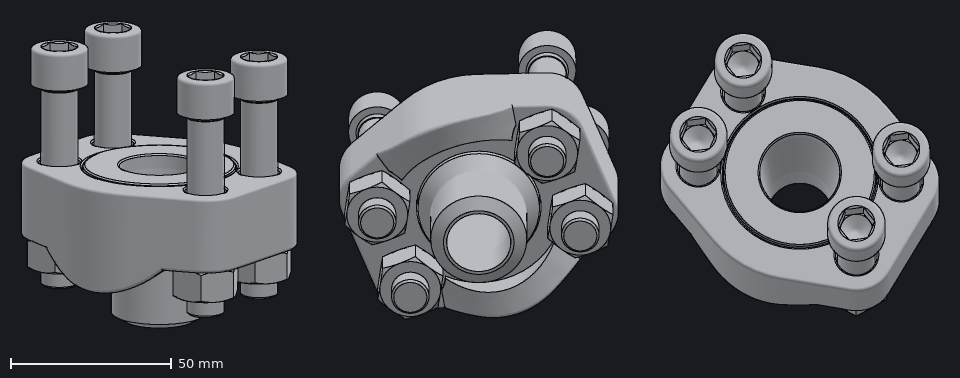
import cadquery as cq
import math


FLANGE_LENGTH = 81.0
FLANGE_WIDTH = 69.93
SIDE_RADIUS = FLANGE_WIDTH / 2
INSERT_STANDOUT = 0.5
FLANGE_THICKNESS = 24.0
FLANGE_TOP = -INSERT_STANDOUT
FLANGE_BOTTOM = FLANGE_TOP - FLANGE_THICKNESS
FLANGE_EDGE_RADIUS = 1.0
SCREW_SPACING_X = 57.15
SCREW_SPACING_Y = 27.76
CORNER_RADIUS = (FLANGE_LENGTH - SCREW_SPACING_X) / 2
SCREW_HOLE_DIAMETER = 13.0
SCREW_HOLE_CHAMFER = 0.5

LOBE_DROP = 9.6
LOBE_RADIUS = 35.0
LOBE_TAPER = 8.0
LOBE_OVERRUN = 2.0
LOBE_CLEARANCE_DIAMETER = 52.0

INSERT_HEIGHT = 50.0
HEAD_DIAMETER = 47.6
HEAD_HEIGHT = 10.0
HEAD_EDGE = 0.5
NECK_DIAMETER = 37.9
NECK_LENGTH = 25.3
PIPE_DIAMETER = 30.0
PIPE_START = 30.0
PIPE_FILLET = 1.0
BORE_DIAMETER = 20.0
MOUTH_DIAMETER = 25.0
MOUTH_DEPTH = 4.7
MOUTH_TAPER_END = 36.0
MOUTH_EDGE = 0.5
WELD_LIP = 1.0
WELD_BEVEL_ANGLE = 30.0

RECESS_DIAMETER = 48.4
RECESS_EDGE = 0.5
NECK_BORE_DIAMETER = 38.85

SCREW_LENGTH = 65.0
SCREW_HEAD_BOTTOM = 24.5
SCREW_HEAD_HEIGHT = 12.0
SCREW_HEAD_DIAMETER = 18.0
SCREW_HEAD_FILLET = 1.2
SHANK_DIAMETER = 12.0
NECK_FILLET_DIAMETER = 13.2
NECK_FILLET_HEIGHT = 1.2
THREAD_DIAMETER = 11.7
THREAD_TIP_DIAMETER = 10.34
SHANK_END_HEIGHT = 0.3
SOCKET_WIDTH = 10.0
SOCKET_DEPTH = 7.5
SOCKET_ANGLE = 38.0
SOCKET_MOUTH_ANGLE = 30.0
SOCKET_TIP_ANGLE = 118.0

NUT_WIDTH = 19.0
NUT_HEIGHT = 10.0
NUT_CHAMFER_ANGLE = 30.0

HEXAGON_SIDES = 6

SCREW_POINTS = [
    (x * SCREW_SPACING_X / 2, y * SCREW_SPACING_Y / 2) for x in (-1, 1) for y in (-1, 1)
]


def tan_deg(angle):
    """Tangent of an angle in degrees."""
    return math.tan(math.radians(angle))


def hexagon_corners(width):
    """Distance across the corners of a hexagon with the given distance across the flats."""
    return width / math.cos(math.pi / HEXAGON_SIDES)


def disc(diameter, z_start, z_end):
    """Cylinder about the Z axis between two heights."""
    return cq.Workplane("XY").workplane(offset=z_start).circle(diameter / 2).extrude(z_end - z_start)


def turned(profile):
    """Solid of revolution about Z of a closed profile drawn in the XZ plane."""
    return profile.close().revolve(axisStart=(0, 0, 0), axisEnd=(0, 1, 0))


def outline_points():
    """Tangent points of the straight flank with the corner arc and with the side arc."""
    corner_x, corner_y = SCREW_SPACING_X / 2, SCREW_SPACING_Y / 2
    reach = math.hypot(corner_x, corner_y)
    normal = math.atan2(corner_y, corner_x) + math.acos((SIDE_RADIUS - CORNER_RADIUS) / reach)
    direction = (math.cos(normal), math.sin(normal))
    corner_end = (corner_x + CORNER_RADIUS * direction[0], corner_y + CORNER_RADIUS * direction[1])
    side_end = (SIDE_RADIUS * direction[0], SIDE_RADIUS * direction[1])
    half_normal = normal / 2
    corner_middle = (
        corner_x + CORNER_RADIUS * math.cos(half_normal),
        corner_y + CORNER_RADIUS * math.sin(half_normal),
    )
    return corner_middle, corner_end, side_end


def flange_prism(z_start, z_end):
    """Flange outline extruded between two heights."""
    (mid_x, mid_y), (corner_x, corner_y), (side_x, side_y) = outline_points()
    half_length = FLANGE_LENGTH / 2
    flat_end = SCREW_SPACING_Y / 2
    outline = (
        cq.Workplane("XY")
        .workplane(offset=z_start)
        .moveTo(half_length, -flat_end)
        .lineTo(half_length, flat_end)
        .threePointArc((mid_x, mid_y), (corner_x, corner_y))
        .lineTo(side_x, side_y)
        .threePointArc((0, SIDE_RADIUS), (-side_x, side_y))
        .lineTo(-corner_x, corner_y)
        .threePointArc((-mid_x, mid_y), (-half_length, flat_end))
        .lineTo(-half_length, -flat_end)
        .threePointArc((-mid_x, -mid_y), (-corner_x, -corner_y))
        .lineTo(-side_x, -side_y)
        .threePointArc((0, -SIDE_RADIUS), (side_x, -side_y))
        .lineTo(corner_x, -corner_y)
        .threePointArc((mid_x, -mid_y), (half_length, -flat_end))
        .close()
    )
    return outline.extrude(z_end - z_start)


def lobe_cones():
    """Two cones along Y that narrow toward the insert axis."""
    axis_z = FLANGE_BOTTOM - LOBE_DROP + LOBE_RADIUS
    inner_radius = LOBE_RADIUS - SIDE_RADIUS * tan_deg(LOBE_TAPER)
    outer_radius = LOBE_RADIUS + LOBE_OVERRUN * tan_deg(LOBE_TAPER)
    length = SIDE_RADIUS + LOBE_OVERRUN
    cones = [
        cq.Solid.makeCone(
            inner_radius, outer_radius, length, cq.Vector(0, 0, axis_z), cq.Vector(0, side, 0)
        )
        for side in (-1, 1)
    ]
    return cq.Workplane(cones[0]).union(cq.Workplane(cones[1]))


def make_lobes():
    """Lobes with rounded outer rims, cleared around the insert and the nuts."""
    lobe_top = FLANGE_BOTTOM + FLANGE_EDGE_RADIUS
    lobe_bottom = FLANGE_BOTTOM - LOBE_DROP
    lobes = flange_prism(lobe_bottom, lobe_top).intersect(lobe_cones())
    for side in (-1, 1):
        rim_zone = cq.selectors.BoxSelector(
            (-FLANGE_LENGTH / 2, side * SIDE_RADIUS / 2, lobe_bottom - FLANGE_EDGE_RADIUS),
            (FLANGE_LENGTH / 2, side * SIDE_RADIUS * 2, lobe_top - FLANGE_EDGE_RADIUS / 2),
        )
        lobes = lobes.edges(rim_zone).edges("not |Z").fillet(FLANGE_EDGE_RADIUS)
    clearance = disc(LOBE_CLEARANCE_DIAMETER, lobe_bottom, FLANGE_BOTTOM)
    lobes = lobes.cut(clearance)
    nut_clearance = disc(hexagon_corners(NUT_WIDTH), lobe_bottom, FLANGE_BOTTOM)
    for x, y in SCREW_POINTS:
        lobes = lobes.cut(nut_clearance.translate((x, y, 0)))
    return lobes


def make_flange():
    """Plate and lobes as one body, with the insert seat and the screw holes."""
    plate = flange_prism(FLANGE_BOTTOM, FLANGE_TOP)
    plate = plate.faces("<Z or >Z").edges().fillet(FLANGE_EDGE_RADIUS)
    body = plate.union(make_lobes())

    bore_half = NECK_BORE_DIAMETER / 2
    recess_half = RECESS_DIAMETER / 2
    seat = turned(
        cq.Workplane("XZ")
        .moveTo(0, FLANGE_BOTTOM)
        .lineTo(bore_half, FLANGE_BOTTOM)
        .lineTo(bore_half, -HEAD_HEIGHT)
        .lineTo(recess_half, -HEAD_HEIGHT)
        .lineTo(recess_half, FLANGE_TOP - RECESS_EDGE)
        .lineTo(recess_half + RECESS_EDGE, FLANGE_TOP)
        .lineTo(0, FLANGE_TOP)
    )
    body = body.cut(seat)

    hole_half = SCREW_HOLE_DIAMETER / 2
    screw_hole = turned(
        cq.Workplane("XZ")
        .moveTo(0, FLANGE_BOTTOM)
        .lineTo(hole_half, FLANGE_BOTTOM)
        .lineTo(hole_half, FLANGE_TOP - SCREW_HOLE_CHAMFER)
        .lineTo(hole_half + SCREW_HOLE_CHAMFER, FLANGE_TOP)
        .lineTo(0, FLANGE_TOP)
    )
    for x, y in SCREW_POINTS:
        body = body.cut(screw_hole.translate((x, y, 0)))
    return body


def make_insert():
    """Insert with a head, a conical neck and a pipe stub bevelled for welding."""
    head_half = HEAD_DIAMETER / 2
    neck_half = NECK_DIAMETER / 2
    pipe_half = PIPE_DIAMETER / 2
    bore_half = BORE_DIAMETER / 2
    mouth_half = MOUTH_DIAMETER / 2
    end_half = bore_half + WELD_LIP
    bevel_height = (pipe_half - end_half) * tan_deg(WELD_BEVEL_ANGLE)

    insert = turned(
        cq.Workplane("XZ")
        .moveTo(mouth_half + MOUTH_EDGE, 0)
        .lineTo(head_half - HEAD_EDGE, 0)
        .lineTo(head_half, -HEAD_EDGE)
        .lineTo(head_half, -HEAD_HEIGHT)
        .lineTo(neck_half, -HEAD_HEIGHT)
        .lineTo(neck_half, -NECK_LENGTH)
        .lineTo(pipe_half, -PIPE_START)
        .lineTo(pipe_half, bevel_height - INSERT_HEIGHT)
        .lineTo(end_half, -INSERT_HEIGHT)
        .lineTo(bore_half, -INSERT_HEIGHT)
        .lineTo(bore_half, -MOUTH_TAPER_END)
        .lineTo(mouth_half, -MOUTH_DEPTH)
        .lineTo(mouth_half, -MOUTH_EDGE)
    )
    cone_end = cq.selectors.BoxSelector(
        (-NECK_DIAMETER, -NECK_DIAMETER, -PIPE_START - PIPE_FILLET),
        (NECK_DIAMETER, NECK_DIAMETER, -PIPE_START + PIPE_FILLET),
    )
    return insert.edges(cone_end).edges("%CIRCLE").fillet(PIPE_FILLET)


def socket_cutter():
    """Hexagon socket with a conical bottom and a countersunk mouth."""
    top = SCREW_HEAD_BOTTOM + SCREW_HEAD_HEIGHT
    floor = top - SOCKET_DEPTH
    flat_half = SOCKET_WIDTH / 2
    mouth_half = hexagon_corners(SOCKET_WIDTH) / 2
    hexagon = (
        cq.Workplane("XY")
        .workplane(offset=floor)
        .transformed(rotate=(0, 0, SOCKET_ANGLE))
        .polygon(HEXAGON_SIDES, hexagon_corners(SOCKET_WIDTH))
        .extrude(SOCKET_DEPTH)
    )
    tip = turned(
        cq.Workplane("XZ")
        .moveTo(0, floor - flat_half / tan_deg(SOCKET_TIP_ANGLE / 2))
        .lineTo(flat_half, floor)
        .lineTo(0, floor)
    )
    mouth = turned(
        cq.Workplane("XZ")
        .moveTo(0, top - mouth_half * tan_deg(SOCKET_MOUTH_ANGLE))
        .lineTo(mouth_half, top)
        .lineTo(0, top)
    )
    return hexagon.union(tip).union(mouth)


def make_screw():
    """One screw on the Z axis."""
    head_half = SCREW_HEAD_DIAMETER / 2
    shank_half = SHANK_DIAMETER / 2
    thread_half = THREAD_DIAMETER / 2
    tip_half = THREAD_TIP_DIAMETER / 2
    head_top = SCREW_HEAD_BOTTOM + SCREW_HEAD_HEIGHT
    tip_bottom = SCREW_HEAD_BOTTOM - SCREW_LENGTH
    shank_bottom = SCREW_HEAD_BOTTOM - NECK_FILLET_HEIGHT

    fillet_half = NECK_FILLET_DIAMETER / 2
    fillet_width = fillet_half - shank_half
    neck_radius = (NECK_FILLET_HEIGHT**2 + fillet_width**2) / (2 * fillet_width)
    turned_body = turned(
        cq.Workplane("XZ")
        .moveTo(0, tip_bottom)
        .lineTo(tip_half, tip_bottom)
        .lineTo(thread_half, tip_bottom + thread_half - tip_half)
        .lineTo(thread_half, shank_bottom - SHANK_END_HEIGHT)
        .lineTo(shank_half, shank_bottom)
        .radiusArc((fillet_half, SCREW_HEAD_BOTTOM), neck_radius)
        .lineTo(head_half, SCREW_HEAD_BOTTOM)
        .lineTo(head_half, head_top)
        .lineTo(0, head_top)
    )
    screw = turned_body.faces(">Z").edges().fillet(SCREW_HEAD_FILLET)
    return screw.cut(socket_cutter())


def make_nut():
    """One nut on the Z axis, bearing on the underside of the flange."""
    bottom = FLANGE_BOTTOM - NUT_HEIGHT
    flat_half = NUT_WIDTH / 2
    corner_half = hexagon_corners(NUT_WIDTH) / 2
    chamfer = (corner_half - flat_half) * tan_deg(NUT_CHAMFER_ANGLE)
    hexagon = (
        cq.Workplane("XY")
        .workplane(offset=bottom)
        .polygon(HEXAGON_SIDES, hexagon_corners(NUT_WIDTH))
        .extrude(NUT_HEIGHT)
    )
    rounded = turned(
        cq.Workplane("XZ")
        .moveTo(0, bottom)
        .lineTo(flat_half, bottom)
        .lineTo(corner_half, bottom + chamfer)
        .lineTo(corner_half, FLANGE_BOTTOM - chamfer)
        .lineTo(flat_half, FLANGE_BOTTOM)
        .lineTo(0, FLANGE_BOTTOM)
    )
    return hexagon.intersect(rounded).cut(disc(THREAD_DIAMETER, bottom, FLANGE_BOTTOM))


flange = make_flange()
insert = make_insert()
screws = [make_screw().translate((x, y, 0)) for x, y in SCREW_POINTS]
nuts = [make_nut().translate((x, y, 0)) for x, y in SCREW_POINTS]

result = cq.Compound.makeCompound(
    [flange.val(), insert.val()] + [screw.val() for screw in screws] + [nut.val() for nut in nuts]
)